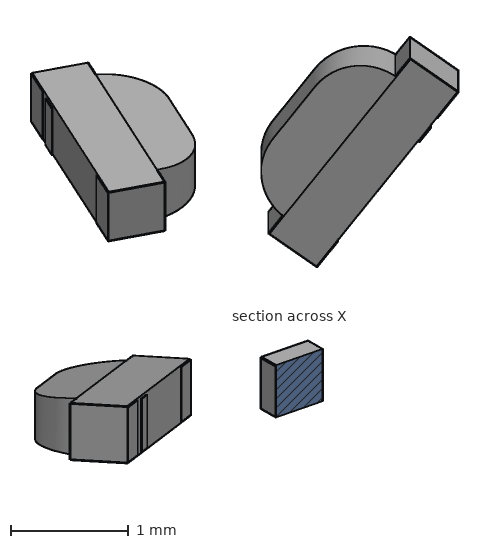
import cadquery as cq

HOUSING_LENGTH = 2.0
HOUSING_DEPTH = 0.5
HOUSING_HEIGHT = 0.5

TERMINAL_LENGTH = 2.01
TERMINAL_HEIGHT = 0.48
TERMINAL_THICKNESS = 0.01
TERMINAL_FRONT_WIDTH = 0.3

LENS_WIDTH = 1.6
LENS_LENGTH = 0.488
LENS_TAPER_ANGLE = 5.0
LENS_CORNER_RADIUS = 0.5

MARK_WIDTH = 0.17
MARK_HEIGHT = 0.465
MARK_THICKNESS = 0.01
MARK_OFFSET = 0.405

HOUSING_FRONT = -HOUSING_DEPTH
HOUSING_END = HOUSING_LENGTH / 2
TERMINAL_FRONT = HOUSING_FRONT - TERMINAL_THICKNESS
LENS_HALF_WIDTH = LENS_WIDTH / 2
TERMINAL_END = TERMINAL_LENGTH / 2


def block(x_min, x_max, y_min, y_max, height):
    """Box between the given X and Y limits, centred on Z = 0."""
    return (
        cq.Workplane("XY")
        .box(x_max - x_min, y_max - y_min, height)
        .translate(((x_min + x_max) / 2, (y_min + y_max) / 2, 0))
    )


def make_housing():
    return block(-HOUSING_END, HOUSING_END, HOUSING_FRONT, 0, HOUSING_HEIGHT)


def make_lens():
    """Block that tapers on all four sides towards its tip, with two large rounded tip corners."""
    return (
        cq.Workplane("XZ")
        .rect(LENS_WIDTH, HOUSING_HEIGHT)
        .extrude(-LENS_LENGTH, taper=LENS_TAPER_ANGLE)
        .faces(">Y")
        .edges("|Z")
        .fillet(LENS_CORNER_RADIUS)
    )


def make_terminal(side):
    """Terminal at the -X end (side = -1) or the +X end (side = 1), reaching in to the lens at the back."""
    inner_front = TERMINAL_END - TERMINAL_FRONT_WIDTH
    return (
        cq.Workplane("XY", origin=(0, 0, -TERMINAL_HEIGHT / 2))
        .polyline([
            (side * inner_front, TERMINAL_FRONT),
            (side * TERMINAL_END, TERMINAL_FRONT),
            (side * TERMINAL_END, TERMINAL_THICKNESS),
            (side * LENS_HALF_WIDTH, TERMINAL_THICKNESS),
            (side * LENS_HALF_WIDTH, 0),
            (side * HOUSING_END, 0),
            (side * HOUSING_END, HOUSING_FRONT),
            (side * inner_front, HOUSING_FRONT),
        ])
        .close()
        .extrude(TERMINAL_HEIGHT)
    )


def make_polarity_mark():
    x_min = -TERMINAL_END + MARK_OFFSET
    return block(x_min, x_min + MARK_WIDTH, TERMINAL_FRONT - MARK_THICKNESS, TERMINAL_FRONT, MARK_HEIGHT)


housing = make_housing()
lens = make_lens()
terminals = [make_terminal(side) for side in (-1, 1)]
polarity_mark = make_polarity_mark()

result = cq.Compound.makeCompound([
    housing.val(),
    lens.val(),
    *[terminal.val() for terminal in terminals],
    polarity_mark.val(),
])